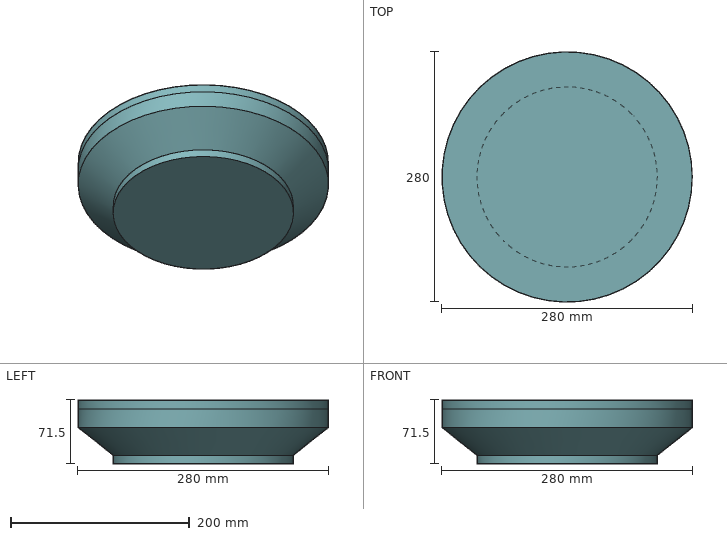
import cadquery as cq

rim_diameter = 280.0
foot_diameter = 201.5
total_height = 71.5
lid_thickness = 10.0
foot_height = 9.5
cone_height = 31.0

rim_radius = rim_diameter / 2
foot_radius = foot_diameter / 2
cone_top = foot_height + cone_height
base_height = total_height - lid_thickness


def make_base():
    """Solid of revolution: round foot, flaring cone and straight rim."""
    return (
        cq.Workplane("XZ")
        .moveTo(0, 0)
        .lineTo(foot_radius, 0)
        .lineTo(foot_radius, foot_height)
        .lineTo(rim_radius, cone_top)
        .lineTo(rim_radius, base_height)
        .lineTo(0, base_height)
        .close()
        .revolve(360, (0, 0), (0, 1))
    )


def make_lid():
    """Flat disc resting on the base, flush with its rim."""
    return (
        cq.Workplane("XY")
        .workplane(offset=base_height)
        .circle(rim_radius)
        .extrude(lid_thickness)
    )


base = make_base()
lid = make_lid()

result = cq.Compound.makeCompound([base.val(), lid.val()])